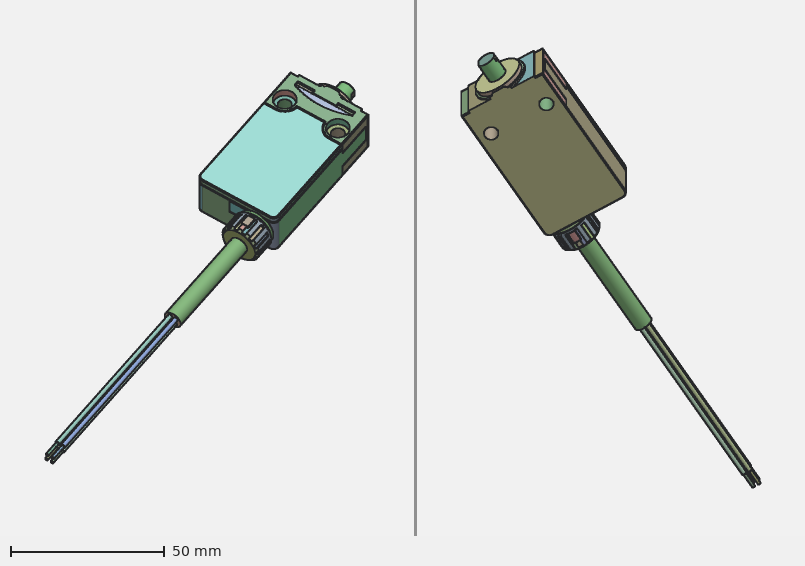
import cadquery as cq


width = 31.0
length = 53.5
thickness = 16.7
edge_chamfer = 0.4
rear_corner_radius = 2.2
top_z = thickness / 2
side_x = width / 2

seam_width = 0.4
seam_depth = 0.2
cover_thickness = 2.5
panel_depth = 0.2
panel_front_y = 52.8
panel_rear_y = 38.6
panel_half_gap = 3.5
band_front_y = 51.9

hole_x = 10.5
hole_y = 43.0
hole_diameter = 4.7
counterbore_diameter = 7.8
counterbore_depth = 2.9
hole_centres = [(-hole_x, hole_y), (hole_x, hole_y)]

step_radius = 4.7
step_depth = 0.4
step_width = 0.4

lens_width = 22.7
lens_front_y = 51.7
lens_shoulder_y = 49.9
lens_rear_y = 47.5
lens_tab_width = 9.3
lens_tab_length = 1.3
lens_depth = 0.5
lens_slot_depth = 1.0

plunger_radius = 3.17
plunger_reach = 10.0
plunger_flat_length = 1.8
plunger_flat_depth = 0.27
collar_reach = 2.9
collar_radius = thickness / 2
collar_base_reach = 1.3
collar_base_width = 18.5
plate_reach = 0.5
plate_width = 25.0
lug_reach = 2.2
lug_root_width = 8.7
lug_tip_width = 4.4

gland_x = 8.07
neck_radius = 6.8
neck_waist_radius = 6.3
nut_start = 1.8
nut_end = 9.8
nut_radius = 7.3
nut_tip_length = 0.9
nut_tip_radius = 6.3
rim_width = 0.9
tooth_count = 14
groove_width = 1.5
groove_depth = 0.5
ridge_width = 2.7
ridge_length = 4.0
ridge_radius = 7.53

pad_left_x = -2.4
pad_bottom_z = 0.2
pad_reach = 0.4

cable_radius = 3.17
cable_end = 47.7
wire_radius = 0.82
wire_offset = 1.0
row_offset = 1.3
row_shift = 0.15
wire_end = 112.1
conductor_radius = 0.5
conductor_end = 118.0


def block(x_range, y_range, z_range):
    """A box given by its limits along each axis."""
    size = [high - low for low, high in (x_range, y_range, z_range)]
    corner = (x_range[0], y_range[0], z_range[0])
    return cq.Workplane("XY").box(*size, centered=False).translate(corner)


def rod(radius, start_y, end_y, x=0, z=0):
    """A round bar along Y between two places."""
    base = cq.Workplane("XZ", origin=(x, start_y, z)).circle(radius)
    return base.extrude(start_y - end_y)


def housing():
    body = block((-side_x, side_x), (0, length), (-top_z, top_z))
    body = body.edges("|Z and <Y").fillet(rear_corner_radius)
    return body.faces("<Z or >Z").chamfer(edge_chamfer)


def cover_seam():
    """Thin groove under the cover, along both sides and around the cable end."""
    outside = block(
        (-width, width),
        (-length, hole_y - step_radius),
        (top_z - cover_thickness - seam_width / 2, top_z - cover_thickness + seam_width / 2),
    )
    core = (
        cq.Workplane("XY", origin=(0, 0, -top_z))
        .rect(width - 2 * seam_depth, 2 * (length - seam_depth))
        .extrude(thickness)
        .translate((0, length, 0))
        .edges("|Z and <Y")
        .fillet(rear_corner_radius - seam_depth)
    )
    return outside.cut(core)


def side_panels():
    """Shallow recesses on both sides of the head, above, below and in front of a raised band."""
    cutter = cq.Workplane("XY")
    for side in (-1, 1):
        inner_x = side * (side_x - panel_depth)
        outer_x = side * (side_x + 1.8)
        x_range = sorted((inner_x, outer_x))
        for level in (-1, 1):
            z_range = sorted((level * panel_half_gap, level * (top_z - edge_chamfer)))
            cutter = cutter.add(block(x_range, (panel_rear_y, panel_front_y), z_range))
        z_range = (-panel_half_gap, panel_half_gap)
        cutter = cutter.add(block(x_range, (band_front_y, panel_front_y), z_range))
    return cutter.combine()


def step_region(offset):
    """Head area bounded by the step line, which rounds each hole, grown by an offset."""
    radius = step_radius + offset
    floor_z = top_z - step_depth
    region = block((-width, width), (hole_y - offset, length + 1.8), (floor_z, thickness))
    for side in (-1, 1):
        x_range = sorted((side * hole_x, side * width))
        region = region.union(block(x_range, (hole_y - radius, hole_y), (floor_z, thickness)))
    rounds = cq.Workplane("XY", origin=(0, 0, floor_z)).pushPoints(hole_centres)
    return region.union(rounds.circle(radius).extrude(thickness - floor_z))


def head_step():
    return step_region(step_width).cut(step_region(0))


def lens_pocket():
    half_width = lens_width / 2
    half_tab = lens_tab_width / 2
    slot_rear_y = lens_front_y - lens_tab_length
    lens = (
        cq.Workplane("XY", origin=(0, 0, top_z - lens_depth))
        .moveTo(-half_width, slot_rear_y)
        .lineTo(-half_width, lens_shoulder_y)
        .threePointArc((0, lens_rear_y), (half_width, lens_shoulder_y))
        .lineTo(half_width, slot_rear_y)
        .close()
        .extrude(lens_depth)
    )
    for x_range in ((-half_width, -half_tab), (half_tab, half_width)):
        slot = block(x_range, (slot_rear_y, lens_front_y), (top_z - lens_slot_depth, top_z))
        lens = lens.union(slot)
    return lens


def mounting_holes():
    bores = cq.Workplane("XY", origin=(0, 0, -top_z)).pushPoints(hole_centres)
    bores = bores.circle(hole_diameter / 2).extrude(thickness)
    seats = cq.Workplane("XY", origin=(0, 0, top_z - counterbore_depth)).pushPoints(hole_centres)
    return bores.union(seats.circle(counterbore_diameter / 2).extrude(counterbore_depth))


def collar():
    """Stepped collar with a tapered lug, all as thick as the housing."""
    base = rod(collar_base_width / 2, length, length + collar_base_reach)
    base = base.intersect(block((-width, width), (0, 2 * length), (-top_z, top_z)))
    plate = block(
        (-plate_width / 2, plate_width / 2),
        (length - edge_chamfer, length + plate_reach),
        (-top_z, top_z),
    )
    lug = (
        cq.Workplane("XY", origin=(0, 0, -top_z))
        .moveTo(-lug_root_width / 2, length)
        .lineTo(lug_root_width / 2, length)
        .lineTo(lug_tip_width / 2, length + lug_reach)
        .lineTo(-lug_tip_width / 2, length + lug_reach)
        .close()
        .extrude(thickness)
    )
    disc = rod(collar_radius, length, length + collar_reach)
    return base.union(plate).union(lug).union(disc)


def plunger():
    tip_y = length + plunger_reach
    pin = rod(plunger_radius, length, tip_y)
    flat_x = plunger_radius - plunger_flat_depth
    for x_range in ((-width, -flat_x), (flat_x, width)):
        pin = pin.cut(block(x_range, (tip_y - plunger_flat_length, tip_y), (-top_z, top_z)))
    return pin


def gland():
    """Waisted neck and a toothed nut with two marker ridges."""
    blank = (
        cq.Workplane("XY")
        .moveTo(0, 0)
        .lineTo(neck_radius, 0)
        .lineTo(neck_waist_radius, -nut_start / 2)
        .lineTo(neck_radius, -nut_start)
        .lineTo(nut_radius, -nut_start)
        .lineTo(nut_radius, nut_tip_length - nut_end)
        .lineTo(nut_tip_radius, -nut_end)
        .lineTo(0, -nut_end)
        .close()
        .revolve(360, (0, 0), (0, 1))
    )
    teeth_start = nut_start + rim_width
    pitch = 360 / tooth_count
    groove = block(
        (-groove_width / 2, groove_width / 2),
        (-nut_end, -teeth_start),
        (nut_radius - groove_depth, nut_radius + 1.8),
    )
    for index in range(tooth_count):
        angle = (index + 0.5) * pitch
        blank = blank.cut(groove.rotate((0, 0, 0), (0, 1, 0), angle))
    ridge = rod(ridge_radius, -teeth_start - ridge_length, -teeth_start).intersect(
        block((-ridge_width / 2, ridge_width / 2), (-nut_end, 0), (-width, width))
    )
    return blank.union(ridge).translate((gland_x, 0, 0))


def locating_pad():
    return block(
        (pad_left_x, gland_x),
        (-pad_reach, 0),
        (pad_bottom_z, top_z - cover_thickness),
    )


def cable():
    """Jacketed cable with two offset rows of wires, each ending in a bare conductor."""
    bundle = rod(cable_radius, -cable_end, -nut_end)
    for side in (-1, 1):
        for level in (-1, 1):
            x = side * wire_offset + level * row_shift
            z = level * row_offset
            bundle = bundle.union(rod(wire_radius, -wire_end, -cable_end, x, z))
            bundle = bundle.union(rod(conductor_radius, -conductor_end, -wire_end, x, z))
    return bundle.translate((gland_x, 0, 0))


result = housing()
for cutter in (cover_seam(), side_panels(), head_step(), lens_pocket(), mounting_holes()):
    result = result.cut(cutter)
for addition in (collar(), plunger(), gland(), locating_pad(), cable()):
    result = result.union(addition)